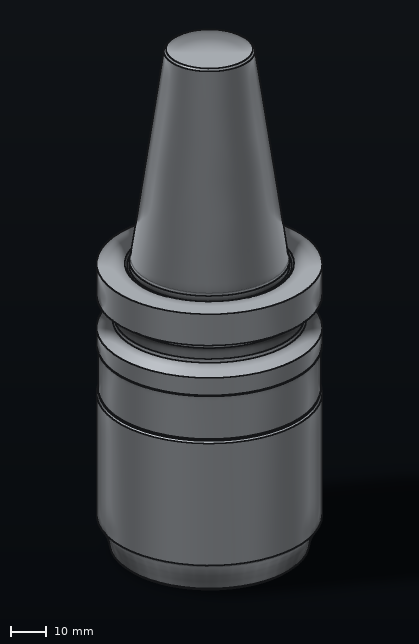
import cadquery as cq

total_height = 155.4
body_diameter = 63.0
body_radius = body_diameter / 2

nose_face_radius = 26.7
nose_radius = 27.8
nose_chamfer_height = 1.0
flare_mid_radius = 28.9
flare_mid_height = 5.3
flare_top_radius = 31.1
shoulder_height = 10.0
edge_chamfer = 0.5

body_top = 48.5
neck_radius = 31.1
seam_depth = 0.3
seam_width = 0.5

flange_bottom = 62.6
flange_top = 88.5
groove_radius = 26.5
groove_relief_radius = 27.0
groove_lower_edge = 68.5
groove_relief_height = 71.0
groove_floor_bottom = 72.0
groove_floor_top = 75.4
groove_upper_edge = 78.6

recess_radius = 23.6
recess_floor_radius = 23.0
recess_depth = 0.6
collar_radius = 22.4
collar_top = 89.5
taper_root_radius = 22.0
taper_root_height = 90.3
taper_tip_radius = 12.7
tip_chamfer = 0.6


def nose_and_body(profile):
    """Trace the outline from the nose face to the underside of the flange."""
    return (
        profile.lineTo(nose_face_radius, 0)
        .lineTo(nose_radius, nose_chamfer_height)
        .threePointArc((flare_mid_radius, flare_mid_height), (flare_top_radius, shoulder_height - edge_chamfer))
        .lineTo(body_radius, shoulder_height)
        .lineTo(body_radius, body_top - edge_chamfer)
        .lineTo(neck_radius - seam_depth, body_top)
        .lineTo(neck_radius - seam_depth, body_top + seam_width)
        .lineTo(neck_radius, body_top + seam_width + seam_depth)
        .lineTo(neck_radius, flange_bottom)
    )


def flange(profile):
    """Trace the grooved flange up to its flat top face."""
    return (
        profile.lineTo(body_radius - edge_chamfer / 2, flange_bottom)
        .lineTo(body_radius, flange_bottom + edge_chamfer)
        .lineTo(body_radius, groove_lower_edge)
        .lineTo(groove_relief_radius, groove_relief_height)
        .lineTo(groove_radius, groove_floor_bottom)
        .lineTo(groove_radius, groove_floor_top)
        .lineTo(body_radius, groove_upper_edge)
        .lineTo(body_radius, flange_top)
    )


def taper_shank(profile):
    """Trace the root recess, the collar and the taper up to the axis."""
    return (
        profile.lineTo(recess_radius, flange_top)
        .lineTo(recess_floor_radius, flange_top - recess_depth)
        .lineTo(collar_radius, flange_top - recess_depth)
        .lineTo(collar_radius, collar_top)
        .lineTo(taper_root_radius, taper_root_height)
        .lineTo(taper_tip_radius, total_height - tip_chamfer)
        .lineTo(taper_tip_radius - tip_chamfer, total_height)
        .lineTo(0, total_height)
    )


outline = taper_shank(flange(nose_and_body(cq.Workplane("XZ").moveTo(0, 0))))
result = outline.close().revolve(360, (0, 0, 0), (0, 1, 0))